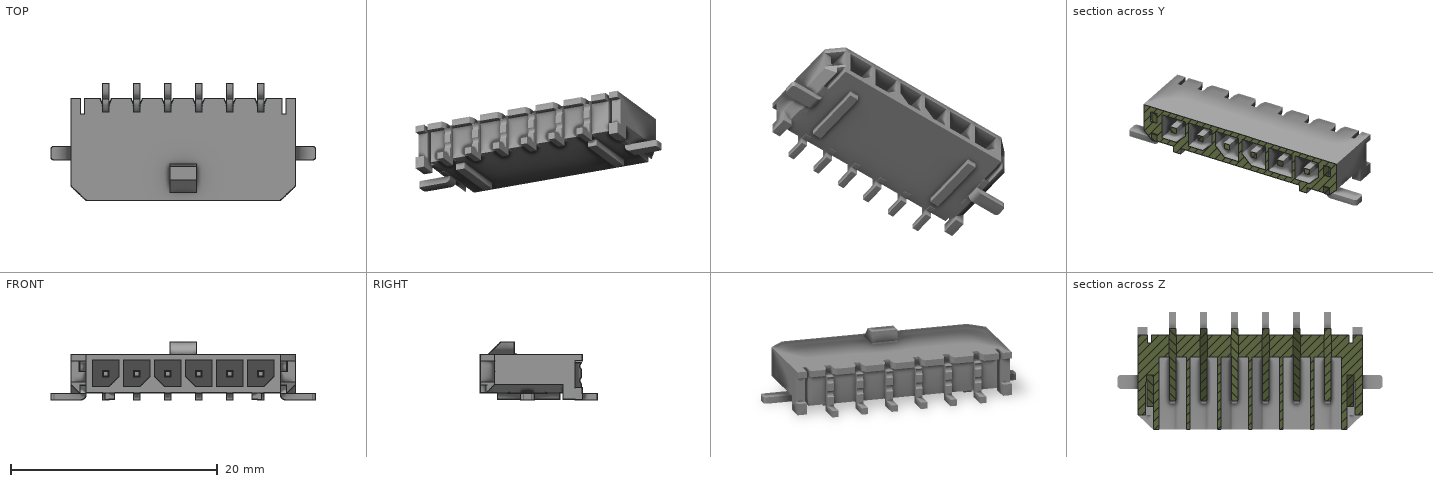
import cadquery as cq
import math


pin_count = 6
pitch = 3.0
pin_size = 0.64
pin_height = 2.54
pin_tip_y = 2.5
pin_tip_bevel = 0.11
pin_tip_length = 0.4
leg_front = 8.57
leg_rear = 9.81
leg_top = 3.63
solder_foot_front = 9.2
solder_foot_rear = 11.35
scallop_diameter = 0.8
scallop_y = 10.06
scallop_heights = (1.89, 3.28)
pin_positions = [(i - (pin_count - 1) / 2) * pitch for i in range(pin_count)]

housing_width = 21.75
housing_depth = 9.9
housing_bottom = 0.7
housing_top = 4.43
roof_bottom = 3.8
rear_wall_y = 9.2
half_width = housing_width / 2

cavity_size = 2.58
cavity_height = 2.58
cavity_depth = 7.0
key_size = 1.0
key_sides = (1, 1, -1, -1, 0, 1)

corner_x = 1.47
corner_y = 1.39
recess_bottom = 1.77
side_bevel_x = 0.82
side_bevel_z = 0.8
front_block_depth = 8.02

foot_bottom = 0.07
foot_top = 1.2
end_slot_width = 0.38
end_slot_depth = 1.5
end_foot_width = 0.93
notch_mouth_width = 1.1
notch_flare_depth = 0.58

rib_x = 7.1
rib_width = 0.92
rib_front = 1.68
rib_rear = 7.73

latch_width = 2.58
latch_top = 5.64
latch_front = 0.77
latch_crest_front = 2.01
latch_rear = 3.31
latch_fillet_length = 0.25
latch_fillet_height = 0.09

clip_span = 25.65
clip_thickness = 0.64
clip_plate_thickness = 0.6
clip_inner_x = half_width - corner_x
clip_y = 4.585
tab_width = 1.33
tab_corner_radius = 0.3
bend_radius = 0.55
clip_base_bottom = 0.63
clip_base_top = 1.42
clip_base_length = 3.83
clip_base_slope = 0.8
clip_arm_front = 2.2
clip_nose_length = 0.3
clip_nose_z = 3.5
clip_nose_radius = 0.4

lower_slot_top = 1.45
window_bottom = 2.77
window_width = 0.71


def box(x0, x1, y0, y1, z0, z1):
    """Box between two opposite corners."""
    return cq.Workplane("XY").box(x1 - x0, y1 - y0, z1 - z0, centered=False).translate((x0, y0, z0))


def both_sides(shape):
    """Shape on the +X side together with its mirror image on the -X side."""
    return shape.add(shape.mirror("YZ").vals()).combine()


def make_contact(x):
    """Flat contact: blade, upright leg with a scalloped rear edge, and solder foot."""
    left = x - pin_size / 2
    right = x + pin_size / 2
    taper_start = pin_tip_y + pin_tip_length
    blade = box(
        left, right, taper_start, leg_rear, pin_height - pin_size / 2, pin_height + pin_size / 2
    )
    tip = (
        cq.Workplane("XZ", origin=(x, taper_start, pin_height))
        .rect(pin_size, pin_size)
        .extrude(pin_tip_length, taper=math.degrees(math.atan2(pin_tip_bevel, pin_tip_length)))
    )
    leg = box(left, right, leg_front, leg_rear, pin_size, leg_top)
    foot = box(left, right, solder_foot_front, solder_foot_rear, 0, pin_size)
    scallops = (
        cq.Workplane("YZ", origin=(left, 0, 0))
        .pushPoints([(scallop_y, z) for z in scallop_heights])
        .circle(scallop_diameter / 2)
        .extrude(pin_size)
    )
    return blade.union(tip).union(leg).union(foot).cut(scallops)


def make_clip():
    """Solder clip on the +X side: upright plate held in the housing and a tab bent outwards."""
    base_front = clip_y - clip_base_length / 2
    base_rear = clip_y + clip_base_length / 2
    stem_front = clip_y - tab_width / 2
    stem_rear = clip_y + tab_width / 2
    plate = (
        cq.Workplane("YZ", origin=(clip_inner_x, 0, 0))
        .moveTo(base_front, clip_base_bottom)
        .lineTo(base_front + clip_base_slope, clip_base_top)
        .lineTo(stem_front, clip_base_top)
        .lineTo(stem_front, window_bottom)
        .lineTo(clip_arm_front, window_bottom)
        .lineTo(clip_arm_front, clip_nose_z)
        .radiusArc((clip_arm_front + clip_nose_length, roof_bottom), clip_nose_radius)
        .lineTo(stem_rear, roof_bottom)
        .lineTo(stem_rear, clip_base_top)
        .lineTo(base_rear - clip_base_slope, clip_base_top)
        .lineTo(base_rear, clip_base_bottom)
        .close()
        .extrude(clip_plate_thickness)
    )
    tab = box(clip_inner_x, clip_span / 2, stem_front, stem_rear, 0, clip_thickness)
    tab = tab.edges(">X and |Z").fillet(tab_corner_radius)
    tab = tab.edges("<X and <Z").fillet(bend_radius)
    return plate.union(tab)


def make_shell():
    """Outer block with beveled lower side edges, overhanging roof and rear end feet."""
    shell = box(-half_width, half_width, 0, rear_wall_y, housing_bottom, housing_top)
    bevel = (
        cq.Workplane("XZ")
        .moveTo(half_width, housing_bottom)
        .lineTo(half_width, housing_bottom + side_bevel_z)
        .lineTo(half_width - side_bevel_x, housing_bottom)
        .close()
        .extrude(-front_block_depth)
    )
    roof = box(-half_width, half_width, 0, housing_depth, roof_bottom, housing_top)
    end_foot = box(
        half_width - end_foot_width, half_width,
        front_block_depth, housing_depth, foot_bottom, foot_top,
    )
    rib = box(
        rib_x - rib_width / 2, rib_x + rib_width / 2,
        rib_front, rib_rear, foot_bottom, housing_bottom,
    )
    return shell.cut(both_sides(bevel)).union(roof).union(both_sides(end_foot)).union(both_sides(rib))


def make_corner_cuts():
    """Beveled front corner with the recess behind it, on both sides."""
    corner = (
        cq.Workplane("XY")
        .moveTo(half_width, 0)
        .lineTo(half_width, corner_y)
        .lineTo(clip_inner_x, 0)
        .close()
        .extrude(housing_top)
    )
    recess = box(clip_inner_x, half_width, 0, corner_y, recess_bottom, roof_bottom)
    return both_sides(corner.union(recess))


def make_clip_slots():
    """Lower slot and upper window in front of each clip."""
    clip_outer_x = clip_inner_x + clip_plate_thickness
    lower = box(clip_inner_x, clip_outer_x, 0, clip_y, housing_bottom, lower_slot_top)
    window = box(
        clip_inner_x, clip_inner_x + window_width, 0, clip_y, window_bottom, roof_bottom
    )
    return both_sides(lower).union(both_sides(window))


def make_end_slots():
    """Narrow vertical slot beside each rear foot."""
    slot_outer_x = half_width - end_foot_width
    slot = box(
        slot_outer_x - end_slot_width, slot_outer_x,
        housing_depth - end_slot_depth, housing_depth, 0, housing_top,
    )
    return both_sides(slot)


def make_cavity(x, key_side):
    """Contact cavity, square or with one lower corner filled in as a key."""
    half = cavity_size / 2
    cavity = box(x - half, x + half, 0, cavity_depth, cavity_height - half, cavity_height + half)
    if key_side > 0:
        cavity = cavity.edges(">X and <Z").chamfer(key_size)
    elif key_side < 0:
        cavity = cavity.edges("<X and <Z").chamfer(key_size)
    return cavity


def make_roof_notch(x):
    """Groove for a contact leg, flared at its mouth in the roof edge."""
    groove = box(
        x - pin_size / 2, x + pin_size / 2, leg_front, housing_depth, housing_bottom, housing_top
    )
    flare_y = housing_depth - notch_flare_depth
    flare = (
        cq.Workplane("XY", origin=(x, 0, roof_bottom))
        .moveTo(-pin_size / 2, flare_y)
        .lineTo(pin_size / 2, flare_y)
        .lineTo(notch_mouth_width / 2, housing_depth)
        .lineTo(-notch_mouth_width / 2, housing_depth)
        .close()
        .extrude(housing_top - roof_bottom)
    )
    return groove.union(flare)


def make_latch():
    """Latch ramp with a small sloped foot behind it."""
    return (
        cq.Workplane("YZ", origin=(-latch_width / 2, 0, 0))
        .moveTo(latch_front, housing_top)
        .lineTo(latch_crest_front, latch_top)
        .lineTo(latch_rear, latch_top)
        .lineTo(latch_rear, housing_top + latch_fillet_height)
        .lineTo(latch_rear + latch_fillet_length, housing_top)
        .close()
        .extrude(latch_width)
    )


contacts = [make_contact(x) for x in pin_positions]
right_clip = make_clip()
left_clip = right_clip.mirror("YZ")
clips = [left_clip, right_clip]

housing = make_shell().cut(make_corner_cuts()).cut(make_clip_slots()).cut(make_end_slots())
for x, key_side in zip(pin_positions, key_sides):
    housing = housing.cut(make_cavity(x, key_side)).cut(make_roof_notch(x))
housing = housing.union(make_latch())
for insert in contacts + clips:
    housing = housing.cut(insert)

result = cq.Compound.makeCompound([housing.val()] + [insert.val() for insert in contacts + clips])